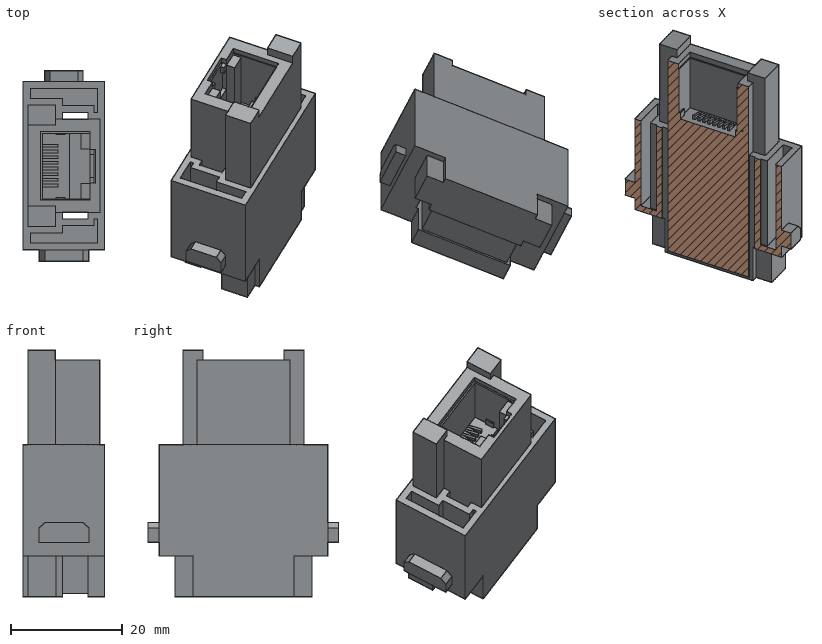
import cadquery as cq


housing_x = 14.65
housing_y = 30.22
housing_bottom = 7.3
housing_top = 27.3
housing_half = housing_y / 2
wall = 1.33

jack_x0 = 0.9
jack_x1 = 13.8
jack_half = 8.35
jack_top = 42.5
post_x1 = 5.85
post_half = 10.9
post_gap_half = 7.25
post_top = 44.25

foot_half = 9.05
foot_recess = 0.58
leg_x1 = 5.97
leg_half = 12.3

slot_x0 = 7.12
slot_x1 = 11.65
slot_half = 9.5

pocket_x1 = 13.4
pocket_lip_x = 12.8
pocket_outer = 13.85
pocket_narrow = 12.05
pocket_wide = 10.75
pocket_floor = housing_bottom + wall

bump_bottom = 9.8
bump_top = 13.35
bump_chamfer_z = 1.0
wide_bump_x0 = 2.9
wide_bump_x1 = 11.8
wide_bump_chamfer_x = 1.05
wide_bump_length = 2.05
narrow_bump_x0 = 3.9
narrow_bump_x1 = 10.8
narrow_bump_chamfer_x = 0.95
narrow_bump_length = 1.95

rim_x0 = 3.2
rim_half = 6.1
rim_depth = 1.05
opening_x0 = 3.5
opening_x1 = 12.05
opening_half = 5.9
opening_y = -0.065
opening_depth = 13.28
shelf_x1 = 8.3
shelf_height = 1.33

guide_x0 = 10.45
guide_gap_half = 3.1
guide_drop = 1.5

notch_x1 = 12.8
notch_rim_x1 = 13.05
notch_half = 3.0
notch_neck_half = 2.05
notch_neck_drop = 0.15
notch_neck_depth = 1.5
notch_depth = 7.7

rib_x0 = 5.95
rib_x1 = 7.55
rib_thickness = 0.25
rib_height = 1.33

contact_count = 8
contact_pitch = 1.0
contact_width = 0.5
contact_x1 = 6.3
contact_rise = 0.8

opening_floor = jack_top - opening_depth
shelf_top = opening_floor + shelf_height


def box(x0, x1, y0, y1, z0, z1):
    """Box between two corners."""
    return cq.Workplane("XY").box(x1 - x0, y1 - y0, z1 - z0, centered=False).translate((x0, y0, z0))


def both_ends(shape):
    """The shape together with its mirror image across Y = 0."""
    return shape.union(shape.mirror("XZ"))


def make_housing():
    shell = box(0, housing_x, -housing_half, housing_half, housing_bottom, housing_top)
    pocket = (
        cq.Workplane("XY")
        .workplane(offset=pocket_floor)
        .moveTo(wall, pocket_outer)
        .lineTo(pocket_x1, pocket_outer)
        .lineTo(pocket_x1, slot_half)
        .lineTo(pocket_lip_x, slot_half)
        .lineTo(pocket_lip_x, pocket_wide)
        .lineTo(slot_x0, pocket_wide)
        .lineTo(slot_x0, pocket_narrow)
        .lineTo(wall, pocket_narrow)
        .close()
        .extrude(housing_top - pocket_floor)
    )
    return shell.cut(both_ends(pocket))


def make_foot():
    foot = box(0, housing_x, -foot_half, foot_half, 0, housing_bottom)
    legs = box(jack_x0, leg_x1, -leg_half, leg_half, 0, housing_bottom)
    channel = box(slot_x0, slot_x1, -foot_half, foot_half, 0, foot_recess)
    return foot.union(legs).cut(channel)


def make_jack():
    core = box(jack_x0, jack_x1, -jack_half, jack_half, housing_top, jack_top)
    shoulder = box(jack_x0, post_x1, -post_half, post_half, housing_top, jack_top)
    post = box(jack_x0, post_x1, post_gap_half, post_half, jack_top, post_top)
    return core.union(shoulder).union(both_ends(post))


def make_bump(x0, x1, chamfer_x, length):
    """Bump with chamfered upper corners, reaching out from the -Y face."""
    return (
        cq.Workplane("XZ", origin=(0, -housing_half, 0))
        .moveTo(x0, bump_bottom)
        .lineTo(x1, bump_bottom)
        .lineTo(x1, bump_top - bump_chamfer_z)
        .lineTo(x1 - chamfer_x, bump_top)
        .lineTo(x0 + chamfer_x, bump_top)
        .lineTo(x0, bump_top - bump_chamfer_z)
        .close()
        .extrude(length)
    )


def make_opening():
    """Empty space of the plug opening, centred on Y = 0."""
    rim_floor = jack_top - rim_depth
    neck_top = rim_floor - notch_neck_drop
    neck_floor = neck_top - notch_neck_depth
    notch_floor = jack_top - notch_depth

    cavity = box(opening_x0, opening_x1, -opening_half, opening_half, opening_floor, jack_top)
    shelf = box(opening_x0, shelf_x1, -opening_half, opening_half, opening_floor, shelf_top)
    guide = box(
        guide_x0, opening_x1, guide_gap_half, opening_half, opening_floor, jack_top - guide_drop
    )
    rib = box(
        rib_x0, rib_x1, opening_half - rib_thickness, opening_half, shelf_top, shelf_top + rib_height
    )
    cavity = cavity.cut(shelf).cut(both_ends(guide)).cut(both_ends(rib))

    notch_rim = box(opening_x1, notch_rim_x1, -notch_half, notch_half, rim_floor, jack_top)
    notch_neck = box(opening_x1, notch_x1, -notch_neck_half, notch_neck_half, neck_floor, neck_top)
    notch_mouth = box(opening_x1, notch_x1, -notch_half, notch_half, neck_top, rim_floor)
    notch = box(opening_x1, notch_x1, -notch_half, notch_half, notch_floor, neck_floor)
    return cavity.union(notch_rim).union(notch_mouth).union(notch_neck).union(notch)


def make_contact(y):
    """Wedge-shaped contact on the shelf, rising away from the -X wall."""
    return (
        cq.Workplane("XZ", origin=(0, y + contact_width / 2, 0))
        .moveTo(opening_x0, shelf_top)
        .lineTo(contact_x1, shelf_top)
        .lineTo(contact_x1, shelf_top + contact_rise)
        .close()
        .extrude(contact_width)
    )


wide_bump = make_bump(wide_bump_x0, wide_bump_x1, wide_bump_chamfer_x, wide_bump_length)
narrow_bump = make_bump(
    narrow_bump_x0, narrow_bump_x1, narrow_bump_chamfer_x, narrow_bump_length
).mirror("XZ")
result = make_housing().union(make_foot()).union(make_jack()).union(wide_bump).union(narrow_bump)

rim_recess = box(rim_x0, opening_x1, -rim_half, rim_half, jack_top - rim_depth, jack_top)
result = result.cut(make_opening().translate((0, opening_y, 0))).cut(rim_recess)

slot = box(slot_x0, slot_x1, jack_half, slot_half, 0, housing_top)
result = result.cut(both_ends(slot))

for index in range(contact_count):
    contact_y = (index - (contact_count - 1) / 2) * contact_pitch
    result = result.union(make_contact(contact_y))